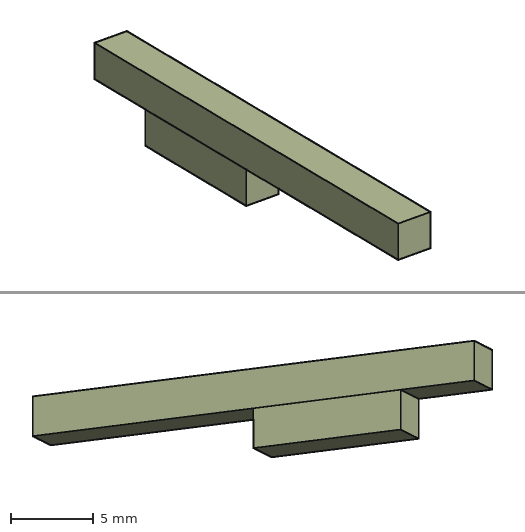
import cadquery as cq

bar_length = 30.0
section = bar_length / 12
block_length = bar_length / 3
block_offset = block_length / 2


def make_bar():
    """Long square bar, its underside on the plane Z = 0."""
    return cq.Workplane("XY").box(bar_length, section, section, centered=(False, True, False))


def make_block():
    """Short square block lying flush under the bar."""
    block = cq.Workplane("XY").box(block_length, section, section, centered=(False, True, False))
    return block.translate((block_offset, 0, -section))


bar = make_bar()
block = make_block()

result = cq.Compound.makeCompound([bar.val(), block.val()])